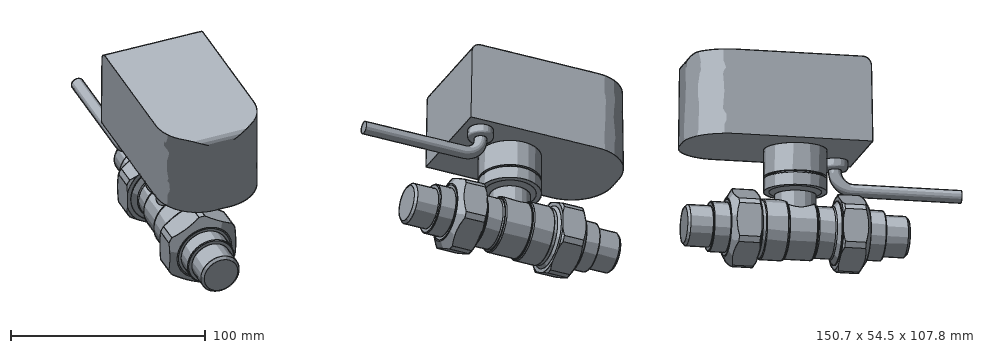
import cadquery as cq
import math


nut_flats_radius = 18.4
nut_corner_radius = 20.3
nut_front_x = 36.6
nut_front_radius = 15.2
nut_front_chamfer = 3.3
nut_back_x = 21.4
nut_back_radius = 18.8
nut_back_chamfer = 0.9
nut_lip_radius = 14.5
nut_bore_radius = 16.5
nut_lip_thickness = 3

tail_end_x = 58.5
tail_radius = 10.7
tail_chamfer = 1.4
tail_shoulder_x = 45.3
tail_shoulder_radius = 13.0
tail_shoulder_chamfer = 0.5
tail_flange_thickness = 3
nut_bore_x = nut_front_x - nut_lip_thickness
body_end_x = nut_bore_x - tail_flange_thickness

left_thread_end_x = 21.0
left_flare_radius = 13.9
left_flare_x = 19.1
left_tube_x = 18.4
left_tube_radius = 13.4
left_step_start_x = 10.1
left_step_x = 9.2
left_step_end_x = 8.5
middle_radius = 14.8
right_step_start_x = 5.7
right_step_x = 6.2
right_step_end_x = 7.0
step_bevel_rise = 0.3
right_tube_radius = 15.7
right_groove_start_x = 17.9
right_groove_x = 18.4
right_flare_x = 20.0
right_groove_radius = 15
neck_radius = 10.7
neck_flare_z = 19.0
neck_flare_radius = 13.5
neck_top_z = 20.6

housing_bottom_z = 42.8
housing_top_z = 87.5
housing_left_x = -34.8
housing_right_x = 60.0
housing_width = 54.5
housing_draft = 1
housing_edge_radius = 4.8
round_start_x = 36.9

collar_radius = 16.3
collar_groove_radius = 15
collar_groove_bottom_z = 27.3
collar_groove_top_z = 28.3

gland_radius = 6.6
gland_bottom_z = 37.8
gland_edge_radius = 1.4

cable_radius = 3.3
cable_end_x = -90.7
cable_y = -17.0
cable_z = 27.5
cable_drop_x = -24.5
cable_bend_radius = 9.6


def revolve_about_x(points):
    """Solid of revolution about X from (x, radius) points that start and end on the axis."""
    return cq.Workplane("XY").polyline(points).close().revolve(360, (0, 0, 0), (1, 0, 0))


def cylinder(radius, bottom_z, top_z, x=0, y=0):
    return cq.Workplane("XY", origin=(x, y, bottom_z)).circle(radius).extrude(top_z - bottom_z)


def make_nut():
    """Union nut on the +X side: chamfered hexagon with corners at +-Z and a retaining lip."""
    hexagon = (
        cq.Workplane("YZ", origin=(nut_back_x, 0, 0))
        .polygon(6, 2 * nut_flats_radius / math.cos(math.pi / 6))
        .extrude(nut_front_x - nut_back_x)
        .rotate((0, 0, 0), (1, 0, 0), 30)
    )
    turned_blank = revolve_about_x([
        (nut_back_x, 0),
        (nut_back_x, nut_back_radius),
        (nut_back_x + nut_back_chamfer, nut_corner_radius),
        (nut_front_x - nut_front_chamfer, nut_corner_radius),
        (nut_front_x, nut_front_radius),
        (nut_front_x, 0),
    ])
    stepped_bore = revolve_about_x([
        (nut_back_x, 0),
        (nut_back_x, nut_bore_radius),
        (nut_bore_x, nut_bore_radius),
        (nut_bore_x, nut_lip_radius),
        (nut_front_x, nut_lip_radius),
        (nut_front_x, 0),
    ])
    return hexagon.intersect(turned_blank).cut(stepped_bore)


def make_tailpiece():
    """Closed tailpiece on the +X side: a flange behind the nut's lip and a step flush with its face."""
    return revolve_about_x([
        (body_end_x, 0),
        (body_end_x, nut_bore_radius),
        (nut_bore_x, nut_bore_radius),
        (nut_bore_x, nut_lip_radius),
        (nut_front_x, nut_lip_radius),
        (nut_front_x, tail_shoulder_radius),
        (tail_shoulder_x - tail_shoulder_chamfer, tail_shoulder_radius),
        (tail_shoulder_x, tail_shoulder_radius - tail_shoulder_chamfer),
        (tail_shoulder_x, tail_radius),
        (tail_end_x - tail_chamfer, tail_radius),
        (tail_end_x, tail_radius - tail_chamfer),
        (tail_end_x, 0),
    ])


def make_valve_body():
    """Stepped run of the tee with a threaded end in each nut, plus the stem neck."""
    run = revolve_about_x([
        (-body_end_x, 0),
        (-body_end_x, nut_bore_radius),
        (-left_thread_end_x, nut_bore_radius),
        (-left_flare_x, left_flare_radius),
        (-left_tube_x, left_tube_radius),
        (-left_step_start_x, left_tube_radius),
        (-left_step_x, left_tube_radius + step_bevel_rise),
        (-left_step_x, middle_radius - step_bevel_rise),
        (-left_step_end_x, middle_radius),
        (right_step_start_x, middle_radius),
        (right_step_x, middle_radius + step_bevel_rise),
        (right_step_x, right_tube_radius - step_bevel_rise),
        (right_step_end_x, right_tube_radius),
        (right_groove_start_x, right_tube_radius),
        (right_groove_x, right_groove_radius),
        (right_flare_x, right_groove_radius),
        (nut_back_x, nut_bore_radius),
        (body_end_x, nut_bore_radius),
        (body_end_x, 0),
    ])
    neck = (
        cq.Workplane("XZ")
        .polyline([
            (0, 0),
            (neck_radius, 0),
            (neck_radius, neck_flare_z),
            (neck_flare_radius, neck_top_z),
            (0, neck_top_z),
        ])
        .close()
        .revolve(360, (0, 0, 0), (0, 1, 0))
    )
    return run.union(neck)


def housing_outline(workplane, inset):
    """Plan of the housing, with both ends moved in by inset and the +X corners rounded."""
    half_width = housing_width / 2
    left_x = housing_left_x + inset
    right_x = housing_right_x - inset
    radius = right_x - round_start_x
    flat_y = half_width - radius
    mid_x = round_start_x + radius * math.sin(math.pi / 4)
    mid_y = flat_y + radius * math.cos(math.pi / 4)
    return (
        workplane.moveTo(left_x, -half_width)
        .lineTo(round_start_x, -half_width)
        .threePointArc((mid_x, -mid_y), (right_x, -flat_y))
        .lineTo(right_x, flat_y)
        .threePointArc((mid_x, mid_y), (round_start_x, half_width))
        .lineTo(left_x, half_width)
        .close()
    )


def make_housing():
    """Housing with drafted ends and the two top end edges rounded straight across Y."""
    height = housing_top_z - housing_bottom_z
    top_inset = height * math.tan(math.radians(housing_draft))
    base = housing_outline(cq.Workplane("XY", origin=(0, 0, housing_bottom_z)), 0)
    drafted = housing_outline(base.workplane(offset=height), top_inset).loft(ruled=True)
    side_profile = (
        cq.Workplane("XZ", origin=(0, housing_width / 2, 0))
        .polyline([
            (housing_left_x, housing_bottom_z),
            (housing_right_x, housing_bottom_z),
            (housing_right_x - top_inset, housing_top_z),
            (housing_left_x + top_inset, housing_top_z),
        ])
        .close()
        .extrude(housing_width)
    )
    rounded_profile = side_profile.edges("|Y and >Z").fillet(housing_edge_radius)
    return drafted.intersect(rounded_profile)


def make_collar():
    """Round neck under the housing with a narrow groove."""
    lower_ring = cylinder(collar_radius, neck_top_z, collar_groove_bottom_z)
    groove_core = cylinder(collar_groove_radius, neck_top_z, housing_bottom_z)
    upper_sleeve = cylinder(collar_radius, collar_groove_top_z, housing_bottom_z)
    return lower_ring.union(groove_core).union(upper_sleeve)


def make_gland():
    gland = cylinder(gland_radius, gland_bottom_z, housing_bottom_z, cable_drop_x, cable_y)
    return gland.faces("<Z").edges().fillet(gland_edge_radius)


def make_cable():
    """Cable that runs along X, then bends up into the gland."""
    bend_start_x = cable_drop_x - cable_bend_radius
    bend_end_z = cable_z + cable_bend_radius
    bend_mid_offset = cable_bend_radius * math.sin(math.pi / 4)
    path = (
        cq.Workplane("XZ", origin=(0, cable_y, 0))
        .moveTo(cable_end_x, cable_z)
        .lineTo(bend_start_x, cable_z)
        .threePointArc(
            (bend_start_x + bend_mid_offset, bend_end_z - bend_mid_offset),
            (cable_drop_x, bend_end_z),
        )
        .lineTo(cable_drop_x, housing_bottom_z)
    )
    return cq.Workplane("YZ", origin=(cable_end_x, cable_y, cable_z)).circle(cable_radius).sweep(path)


def make_actuator():
    """One solid: housing, collar, gland and moulded-in cable."""
    return make_housing().union(make_collar()).union(make_gland()).union(make_cable())


actuator = make_actuator()
valve_body = make_valve_body()

nuts = []
tailpieces = []
for turn in (0, 180):
    nuts.append(make_nut().rotate((0, 0, 0), (0, 0, 1), turn).val())
    tailpieces.append(make_tailpiece().rotate((0, 0, 0), (0, 0, 1), turn).val())

result = cq.Compound.makeCompound([actuator.val(), valve_body.val(), *nuts, *tailpieces])